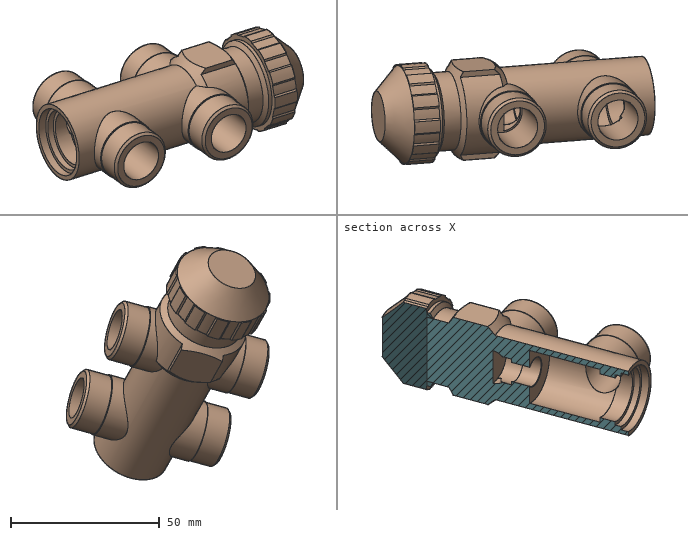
import cadquery as cq
import math

overall_length = 92.8

tube_radius = 13.3
mouth_steps = [(11.7, 2.8), (10.5, 5.0)]
main_bore_radius = 9.3
main_bore_depth = 37.1
undercut_radius = 10.95
undercut_start_y = 10.8

port_span = 52.0
port_reach = port_span / 2
port_root_radius = 10.5
port_root_reach = 17.35
port_root_chamfer = 0.2
port_end_radius = 10.2
port_end_chamfer = 0.8
port_bore_radius = 7.0
lower_port_y = 16.5
port_spacing = 35.0
upper_port_y = lower_port_y + port_spacing
blind_bore_floor = 7.0

seat_radius = 5.1
seat_chamfer = 0.2
chamber_radius = 6.1
chamber_start_y = 44.1
chamber_end_y = upper_port_y - 0.6
window_radius = 6.4

collar_radius = 15.5
pad_width = 14.8
collar_start_y = 50.1
collar_end_y = 67.6
collar_lower_cone = 2.4
collar_upper_cone = 1.4

neck_radius = tube_radius
ring_radius = 15.0
ring_flat_thickness = 1.3
ring_taper = 1.1

knob_start_y = 75.9
knob_base_radius = 16.5
knob_rib_radius = 17.0
knob_top_radius = 8.5
knob_cone_height = knob_base_radius - knob_top_radius
knob_rib_end_y = overall_length - knob_cone_height
rib_count = 12
rib_crest_half_angle = 7.0
rib_foot_half_angle = 9.0


def y_cylinder(radius, start_y, end_y):
    return cq.Workplane("XZ", origin=(0, start_y, 0)).circle(radius).extrude(start_y - end_y)


def x_cylinder(radius, start_x, end_x, center_y):
    return cq.Workplane("YZ", origin=(start_x, center_y, 0)).circle(radius).extrude(end_x - start_x)


def turned(profile):
    """Revolve a closed (radius, y) outline about the Y axis."""
    return cq.Workplane("XY").polyline(profile).close().revolve(360, (0, 0), (0, 1))


def make_port(side, center_y):
    """Port reaching from the tube axis toward side * X, before boring."""
    root = x_cylinder(port_root_radius, 0, side * port_root_reach, center_y)
    end = x_cylinder(port_end_radius, 0, side * port_reach, center_y)
    outer_edge = ">X" if side > 0 else "<X"
    root = root.faces(outer_edge).edges().chamfer(port_root_chamfer)
    end = end.faces(outer_edge).edges().chamfer(port_end_chamfer)
    return root.union(end)


def make_collar():
    """Round collar with a flat wrench pad at top and bottom, coned at both ends."""
    length = collar_end_y - collar_start_y
    middle_y = (collar_start_y + collar_end_y) / 2
    pads = cq.Workplane("XY", origin=(0, middle_y, 0)).box(pad_width, length, 2 * collar_radius)
    blank = y_cylinder(collar_radius, collar_start_y, collar_end_y).union(pads)

    cone_rise = collar_radius - tube_radius
    cone_stretch = 2.0
    outer_radius = tube_radius + cone_stretch * cone_rise
    envelope = turned([
        (0, collar_start_y),
        (tube_radius, collar_start_y),
        (outer_radius, collar_start_y + cone_stretch * collar_lower_cone),
        (outer_radius, collar_end_y - cone_stretch * collar_upper_cone),
        (tube_radius, collar_end_y),
        (0, collar_end_y),
    ])
    return blank.intersect(envelope)


def make_main_bore():
    """Bore stepped down at the mouth, then widened where the lower ports enter it."""
    bore = y_cylinder(main_bore_radius, 0, undercut_start_y)
    bore = bore.union(y_cylinder(undercut_radius, undercut_start_y, main_bore_depth))
    for radius, depth in mouth_steps:
        bore = bore.union(y_cylinder(radius, 0, depth))
    return bore


def make_seat_passage():
    """Seat hole with its chamfered mouth, the chamber, and the window into the upper -X port."""
    mouth_radius = seat_radius + seat_chamfer
    passage = turned([
        (0, main_bore_depth),
        (mouth_radius, main_bore_depth),
        (seat_radius, main_bore_depth + seat_chamfer),
        (seat_radius, chamber_start_y),
        (chamber_radius, chamber_start_y),
        (chamber_radius, chamber_end_y),
        (0, chamber_end_y),
    ])
    window = x_cylinder(window_radius, -blind_bore_floor, 0, upper_port_y)
    window_limit = y_cylinder(port_reach, main_bore_depth, chamber_end_y)
    return passage.union(window.intersect(window_limit))


def make_body():
    tube = y_cylinder(tube_radius, 0, collar_end_y)
    neck = y_cylinder(neck_radius, collar_end_y, knob_start_y)
    body = tube.union(make_collar()).union(neck)
    for center_y in (lower_port_y, upper_port_y):
        for side in (-1, 1):
            body = body.union(make_port(side, center_y))

    body = body.cut(make_main_bore()).cut(make_seat_passage())
    body = body.cut(x_cylinder(port_bore_radius, -port_reach, port_reach, lower_port_y))
    for side in (-1, 1):
        floor_x = side * blind_bore_floor
        end_x = side * port_reach
        body = body.cut(x_cylinder(port_bore_radius, floor_x, end_x, upper_port_y))
    return body


def make_flange_ring():
    """Ring around the neck, seated under the knob and tapered toward the collar."""
    flat_start_y = knob_start_y - ring_flat_thickness
    return turned([
        (neck_radius, flat_start_y - ring_taper),
        (ring_radius, flat_start_y),
        (ring_radius, knob_start_y),
        (neck_radius, knob_start_y),
    ])


def polar(radius, degrees):
    angle = math.radians(degrees)
    return (radius * math.sin(angle), radius * math.cos(angle))


def make_rib():
    """One grip rib, centred on +Z, with sloping flanks and a round crest."""
    return (
        cq.Workplane("XZ", origin=(0, knob_start_y, 0))
        .moveTo(0, 0)
        .lineTo(*polar(knob_base_radius, -rib_foot_half_angle))
        .lineTo(*polar(knob_rib_radius, -rib_crest_half_angle))
        .threePointArc(polar(knob_rib_radius, 0), polar(knob_rib_radius, rib_crest_half_angle))
        .lineTo(*polar(knob_base_radius, rib_foot_half_angle))
        .close()
        .extrude(knob_start_y - knob_rib_end_y)
    )


def make_knob():
    knob = turned([
        (0, knob_start_y),
        (knob_base_radius, knob_start_y),
        (knob_base_radius, knob_rib_end_y),
        (knob_top_radius, overall_length),
        (0, overall_length),
    ])
    rib = make_rib()
    for index in range(rib_count):
        knob = knob.union(rib.rotate((0, 0, 0), (0, 1, 0), index * 360 / rib_count))
    return knob


body = make_body()
flange_ring = make_flange_ring()
knob = make_knob()

result = cq.Compound.makeCompound([
    body.solids().val(),
    flange_ring.solids().val(),
    knob.solids().val(),
])